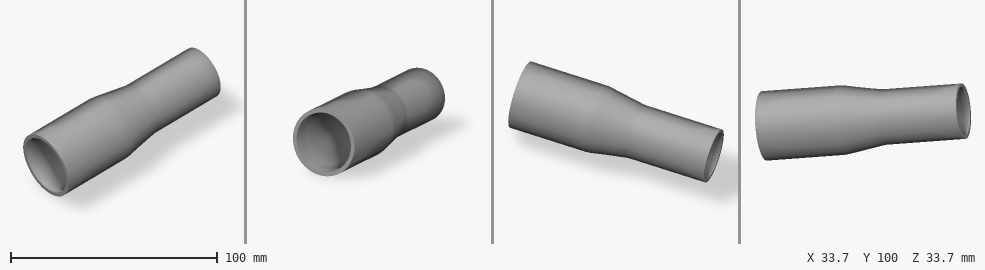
import cadquery as cq
import math


length = 100.0
wide_diameter = 33.7
wide_bore = 29.7
narrow_diameter = 26.9
narrow_bore = 23.7

cone_start = 40.0
cone_end = 60.0

wide_blend = 17.0
narrow_blend = 13.0
wide_bore_blend = 15.0
narrow_bore_blend = 12.0


def reducer_body(start_diameter, end_diameter, start_blend, end_blend):
    """Solid of revolution: cylinder, cone, cylinder, with rounded cone corners."""
    start_radius = start_diameter / 2
    end_radius = end_diameter / 2
    cone_angle = math.atan2(start_radius - end_radius, cone_end - cone_start)

    start_tangent = start_blend * math.tan(cone_angle / 2)
    end_tangent = end_blend * math.tan(cone_angle / 2)

    def along_cone(corner_radius, corner_y, distance):
        """Point on the cone line, a signed distance beyond one of its corners."""
        return (
            corner_radius - distance * math.sin(cone_angle),
            corner_y + distance * math.cos(cone_angle),
        )

    return (
        cq.Workplane("XY")
        .lineTo(start_radius, 0)
        .lineTo(start_radius, cone_start - start_tangent)
        .tangentArcPoint(along_cone(start_radius, cone_start, start_tangent), relative=False)
        .lineTo(*along_cone(end_radius, cone_end, -end_tangent))
        .tangentArcPoint((end_radius, cone_end + end_tangent), relative=False)
        .lineTo(end_radius, length)
        .lineTo(0, length)
        .close()
        .revolve(360, (0, 0, 0), (0, 1, 0))
    )


outside = reducer_body(wide_diameter, narrow_diameter, wide_blend, narrow_blend)
bore = reducer_body(wide_bore, narrow_bore, wide_bore_blend, narrow_bore_blend)

result = outside.cut(bore)